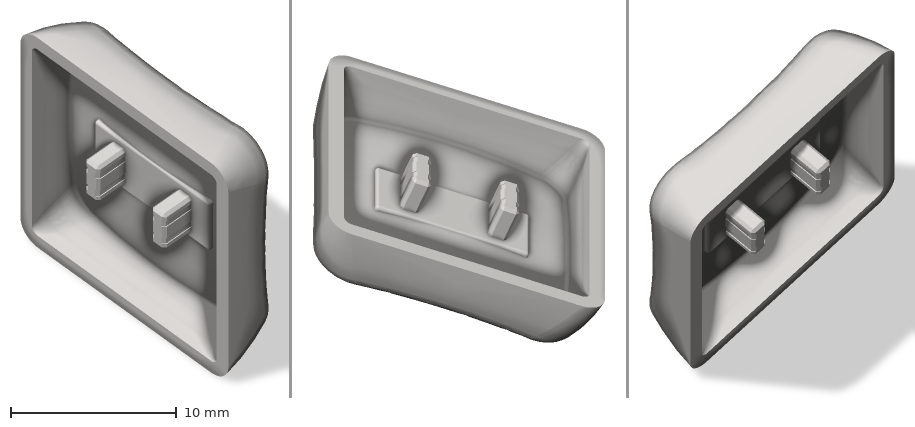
import cadquery as cq

base_size = 17.9
base_corner_radius = 1.5
wall = 1.0
corner_growth = 0.36
side_curve_x = 0.028
side_curve_z = 0.045
loft_height = 5.4
loft_sections = 4

dish_radius = 48.0
dish_height = 3.53
ceiling_height = 2.35
rim_fillet = 1.25
ceiling_fillet = 0.2

pad_length = 9.93
pad_width = 4.1
pad_face_height = 2.3
pad_fillet = 0.2
pad_embed = 0.7

stem_spacing = 5.7
stem_tip_height = 0.0
stem_width = 1.2
stem_length = 3.0
stem_chamfer = 0.2
stem_embed = 0.4
groove_depth = 0.06
groove_width = 0.5
groove_offset = 0.74


def block(size_x, size_z, start, end):
    """Box centred on the Y axis, reaching from one height to another."""
    return cq.Workplane("XZ", origin=(0, start, 0)).rect(size_x, size_z).extrude(start - end)


def section(height, inset):
    """Rounded rectangular wire of the body at a height, moved inwards by inset."""
    half = base_size / 2 - inset
    size_x = 2 * (half - side_curve_x * height**2)
    size_z = 2 * (half - side_curve_z * height**2)
    radius = base_corner_radius - inset + corner_growth * height
    slab = block(size_x, size_z, height, loft_height + height).edges("|Y").fillet(radius)
    return slab.faces("<Y").wires().val()


def tapered_body(inset):
    """Solid with curved sides, lofted from the rim plane upwards."""
    step = loft_height / (loft_sections - 1)
    wires = [section(index * step, inset) for index in range(loft_sections)]
    return cq.Workplane(obj=cq.Solid.makeLoft(wires))


def domed_body(inset, lowest_height, edge_radius):
    """Tapered body with a spherical dish in its top and a rounded top edge."""
    dish = cq.Workplane().sphere(dish_radius).translate((0, lowest_height + dish_radius, 0))
    return tapered_body(inset).cut(dish).faces(">Y").edges().fillet(edge_radius)


def mounting_pad():
    pad = block(pad_length, pad_width, pad_face_height, pad_face_height + pad_embed)
    return pad.edges("<Y or |Y").fillet(pad_fillet)


def chamfered_prong(width):
    """Stem blank with chamfered tip and corners, standing on the pad."""
    blank = block(width, stem_length, stem_tip_height, pad_face_height + stem_embed)
    return blank.edges("<Y or |Y").chamfer(stem_chamfer)


def stem():
    """Prong with grooves across both wide sides that follow the tip chamfer."""
    prong = chamfered_prong(stem_width)
    for side in (-1, 1):
        band = block(stem_width, groove_width, stem_tip_height, pad_face_height + stem_embed)
        prong = prong.cut(band.translate((0, 0, side * groove_offset)))
    return prong.union(chamfered_prong(stem_width - 2 * groove_depth))


shell = domed_body(0, dish_height, rim_fillet)
cavity = domed_body(wall, ceiling_height, ceiling_fillet)
result = shell.cut(cavity).union(mounting_pad())
for side in (-1, 1):
    result = result.union(stem().translate((side * stem_spacing / 2, 0, 0)))